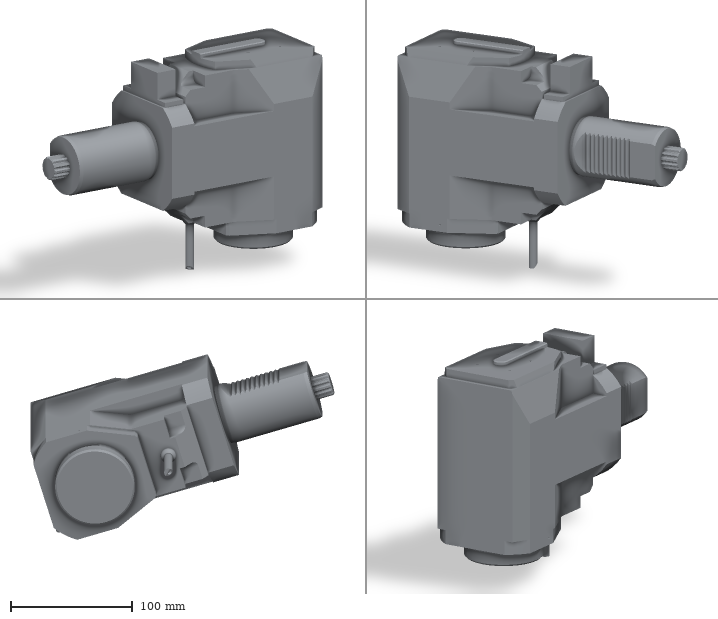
import cadquery as cq
import math


HALF_WIDTH = 44.0
TOTAL_LENGTH = 246.75
BACK_Y = 154.0
SPINDLE_Y = BACK_Y - HALF_WIDTH
FLANGE_THICKNESS = 22.0
FLANGE_CORNER_RADIUS = 53.5
BODY_TOP_Z = 65.0
BODY_BOTTOM_Z = -65.0
COVER_TOP_Z = 72.0
SPINE_TOP_Z = 75.5
TOTAL_HEIGHT = 185.0
PIPE_END_Z = SPINE_TOP_Z - TOTAL_HEIGHT
MARGIN = 5.0

NECK_HALF_WIDTH = 30.75
POCKET_Z = 28.0
POCKET_END_Y = 100.9
POCKET_BEND_Y = 70.0
POCKET_BEND_RADIUS = 10.0
NOSE_CHAMFER = 15.0
BACK_CHAMFER_LENGTH = 15.0
BACK_CHAMFER_WIDTH = 7.5
SLOPE_START_Z = 34.0
SLOPE_ANGLE = 15.0
NOTCH_FLOOR_Z = 55.0
NOTCH_INNER_X = 13.5
NOTCH_BACK_Y = 41.5
NOTCH_RADIUS = 5.0

TAB_START_Y = 2.0
TAB_END_Y = 20.0
TAB_BASE_TOP_Z = 48.0
TAB_TOP_Z = 71.0
TAB_HALF_WIDTH = 19.4

COVER_BACK_Y = 150.0
COVER_CORNER_CHAMFER = 5.0
COVER_INSET = 0.35
COVER_FRONT_RADIUS = 57.0
COVER_FRONT_HALF_WIDTH = 21.9
COVER_SHOULDER_Y = 87.9
COVER_SHOULDER_X = 34.7
COVER_HOLE_OFFSET = 15.85
COVER_HOLE_DIAMETER = 2.1
SPINE_HALF_WIDTH = 6.4
SPINE_ROUND_Y = 114.1
SPINE_CHAMFER_WIDTH = 1.2
SPINE_CHAMFER_HEIGHT = 0.6
SMALL_HOLE_DEPTH = 3.0

PLATE_BOTTOM_Z = -77.0
PLATE_BACK_RADIUS = 52.5
PLATE_SHOULDER_Y = 103.5
PLATE_NOSE_X = 28.3
PLATE_NOSE_Y = 67.2
PLATE_FRONT_X = 26.1
PLATE_FRONT_Y = 65.5
PLATE_HOLE_DIAMETER = 1.7
PLATE_HOLE_Z = (BODY_BOTTOM_Z + PLATE_BOTTOM_Z) / 2

NUT_DIAMETER = 65.3
NUT_BOTTOM_Z = -93.0
NUT_CHAMFER = 1.5
NUT_LIP = 0.6
NUT_FLAT_BOTTOM_Z = -82.0
NUT_FLAT_DISTANCE = 29.8

PIPE_Y = 47.0
PIPE_DIAMETER = 7.0
BALL_RADIUS = 6.37
BALL_HEIGHT = 5.0
PIPE_CUT_OFFSET = -0.5
PIPE_CUT_DEPTH = 6.0
OUTLET_DIAMETER = 4.0
OUTLET_DEPTH = 2.0

SHANK_DIAMETER = 50.0
SHANK_LENGTH = 78.0
RELIEF_DIAMETER = 48.7
RELIEF_LENGTH = 2.0
LEAD_IN_END = 3.5
END_TAPER_LENGTH = 3.0
END_TAPER_DEPTH = 0.8
FLAT_DISTANCE = 19.8
FLAT_RUNOUT = 5.0
TOOTH_PITCH = 4.05
TOOTH_COUNT = 11
FIRST_TOOTH = 12.1
TOOTH_DEPTH = 1.7

SPLINE_TIP_RADIUS = 9.8
SPLINE_ROOT_RADIUS = 8.4
SPLINE_TEETH = 12
SPLINE_PHASE_SHARE = -0.18
SPLINE_TIP_SHARE = 0.35
SPLINE_ROOT_SHARE = 0.2
SPLINE_LENGTH = TOTAL_LENGTH - BACK_Y - SHANK_LENGTH
SPLINE_CHAMFER = 1.0


def box(x_min, x_max, y_min, y_max, z_min, z_max):
    size = (x_max - x_min, y_max - y_min, z_max - z_min)
    return cq.Workplane("XY").box(*size, centered=False).translate((x_min, y_min, z_min))


def prism(points, z_min, z_max):
    """Extrude a closed plan outline between two heights."""
    return cq.Workplane("XY", origin=(0, 0, z_min)).polyline(points).close().extrude(z_max - z_min)


def mirrored(solid):
    """A solid together with its mirror image across the plane X = 0."""
    return solid.union(solid.mirror("YZ"))


def slope_x(z):
    """Half width of the leaning side walls at height z."""
    return HALF_WIDTH - (z - SLOPE_START_Z) * math.tan(math.radians(SLOPE_ANGLE))


def leaning_envelope(inset=0):
    """Block along Y, optionally narrowed, whose upper side walls lean inward."""
    right_side = [
        (HALF_WIDTH - inset, BODY_BOTTOM_Z),
        (HALF_WIDTH - inset, SLOPE_START_Z),
        (slope_x(COVER_TOP_Z) - inset, COVER_TOP_Z),
    ]
    left_side = [(-x, z) for x, z in reversed(right_side)]
    outline = cq.Workplane("XZ").polyline(right_side + left_side).close()
    return outline.extrude(-BACK_Y)


def housing():
    half_back = HALF_WIDTH - BACK_CHAMFER_WIDTH
    plan = [
        (-HALF_WIDTH, FLANGE_THICKNESS),
        (HALF_WIDTH, FLANGE_THICKNESS),
        (HALF_WIDTH, BACK_Y - BACK_CHAMFER_LENGTH),
        (half_back, BACK_Y),
        (-half_back, BACK_Y),
        (-HALF_WIDTH, BACK_Y - BACK_CHAMFER_LENGTH),
    ]
    nose_z = BODY_TOP_Z - NOSE_CHAMFER
    side = [
        (FLANGE_THICKNESS, -nose_z),
        (FLANGE_THICKNESS + NOSE_CHAMFER, BODY_BOTTOM_Z),
        (BACK_Y, BODY_BOTTOM_Z),
        (BACK_Y, BODY_TOP_Z),
        (FLANGE_THICKNESS + NOSE_CHAMFER, BODY_TOP_Z),
        (FLANGE_THICKNESS, nose_z),
    ]
    profile = cq.Workplane("YZ").polyline(side).close().extrude(HALF_WIDTH, both=True)
    body = prism(plan, BODY_BOTTOM_Z, BODY_TOP_Z).intersect(profile)
    body = body.intersect(leaning_envelope())
    for pocket in side_pockets():
        body = body.cut(pocket)
    for notch in nose_notches():
        body = body.cut(notch)
    return body


def side_pockets():
    """Pockets beside the housing neck, above and below the middle band."""
    reach = 2 * HALF_WIDTH
    plan = [
        (NECK_HALF_WIDTH, FLANGE_THICKNESS),
        (NECK_HALF_WIDTH, POCKET_BEND_Y),
        (HALF_WIDTH, POCKET_END_Y),
        (reach, POCKET_END_Y),
        (reach, FLANGE_THICKNESS),
    ]
    upper = prism(plan, POCKET_Z, BODY_TOP_Z + MARGIN)
    bend = cq.selectors.NearestToPointSelector((NECK_HALF_WIDTH, POCKET_BEND_Y, BODY_TOP_Z))
    upper = mirrored(upper.edges("|Z").edges(bend).fillet(POCKET_BEND_RADIUS))
    return [upper, upper.mirror("XY")]


def nose_notches():
    """Corner notches in the nose with a rounded foot along their inner wall."""
    notch = box(NOTCH_INNER_X, HALF_WIDTH, FLANGE_THICKNESS, NOTCH_BACK_Y,
                NOTCH_FLOOR_Z, BODY_TOP_Z + MARGIN)
    notch = notch.edges("|Y and <X and <Z").fillet(NOTCH_RADIUS)
    upper = mirrored(notch)
    return [upper, upper.mirror("XY")]


def flange_block():
    """Full flange with its stepped tab on top."""
    flange = box(-HALF_WIDTH, HALF_WIDTH, 0, FLANGE_THICKNESS, -HALF_WIDTH, HALF_WIDTH)
    disc = cq.Workplane("XZ").circle(FLANGE_CORNER_RADIUS).extrude(-FLANGE_THICKNESS)
    base = box(-NECK_HALF_WIDTH, NECK_HALF_WIDTH, TAB_START_Y, TAB_END_Y, 0, TAB_BASE_TOP_Z)
    tab = box(-TAB_HALF_WIDTH, TAB_HALF_WIDTH, TAB_START_Y, TAB_END_Y, 0, TAB_TOP_Z)
    return flange.intersect(disc).union(base).union(tab)


def cover_front_y(x):
    return SPINDLE_Y - math.sqrt(COVER_FRONT_RADIUS ** 2 - x ** 2)


def cover():
    corner_y = cover_front_y(COVER_FRONT_HALF_WIDTH)
    flank = (COVER_SHOULDER_X - COVER_FRONT_HALF_WIDTH) / (COVER_SHOULDER_Y - corner_y)
    outer_y = COVER_SHOULDER_Y + (HALF_WIDTH - COVER_SHOULDER_X) / flank
    foot_x = slope_x(BODY_TOP_Z) - COVER_INSET
    chamfer_start_y = COVER_BACK_Y - COVER_CORNER_CHAMFER - (HALF_WIDTH - foot_x)
    plate = (
        cq.Workplane("XY", origin=(0, 0, BODY_TOP_Z))
        .moveTo(-COVER_FRONT_HALF_WIDTH, corner_y)
        .threePointArc((0, cover_front_y(0)), (COVER_FRONT_HALF_WIDTH, corner_y))
        .lineTo(HALF_WIDTH, outer_y)
        .lineTo(HALF_WIDTH, chamfer_start_y)
        .lineTo(foot_x - COVER_CORNER_CHAMFER, COVER_BACK_Y)
        .lineTo(COVER_CORNER_CHAMFER - foot_x, COVER_BACK_Y)
        .lineTo(-HALF_WIDTH, chamfer_start_y)
        .lineTo(-HALF_WIDTH, outer_y)
        .close()
        .extrude(COVER_TOP_Z - BODY_TOP_Z)
        .intersect(leaning_envelope(COVER_INSET))
    )
    offset = COVER_HOLE_OFFSET
    holes = (
        cq.Workplane("XY", origin=(0, SPINDLE_Y, COVER_TOP_Z))
        .rect(2 * offset, 2 * offset, forConstruction=True)
        .vertices()
        .circle(COVER_HOLE_DIAMETER / 2)
        .extrude(-SMALL_HOLE_DEPTH)
    )
    return plate.cut(holes)


def cover_spine():
    """Round-ended strip on the cover, trimmed by the cover's front arc."""
    height = SPINE_TOP_Z - COVER_TOP_Z
    length = SPINE_ROUND_Y - (SPINDLE_Y - COVER_FRONT_RADIUS) + MARGIN
    strip = (
        cq.Workplane("XY", origin=(0, SPINE_ROUND_Y - length / 2, COVER_TOP_Z))
        .slot2D(length + 2 * SPINE_HALF_WIDTH, 2 * SPINE_HALF_WIDTH, 90)
        .extrude(height)
        .faces(">Z")
        .edges()
        .chamfer(SPINE_CHAMFER_HEIGHT, SPINE_CHAMFER_WIDTH)
    )
    trim = (
        cq.Workplane("XY", origin=(0, SPINDLE_Y, COVER_TOP_Z))
        .circle(COVER_FRONT_RADIUS)
        .extrude(height)
    )
    return strip.intersect(trim)


def bottom_plate():
    right_side = [
        (PLATE_FRONT_X, PLATE_FRONT_Y),
        (PLATE_NOSE_X, PLATE_NOSE_Y),
        (HALF_WIDTH, PLATE_SHOULDER_Y),
        (HALF_WIDTH, BACK_Y),
    ]
    left_side = [(-x, y) for x, y in reversed(right_side)]
    plate = prism(right_side + left_side, PLATE_BOTTOM_Z, BODY_BOTTOM_Z)
    disc = (
        cq.Workplane("XY", origin=(0, SPINDLE_Y, PLATE_BOTTOM_Z))
        .circle(PLATE_BACK_RADIUS)
        .extrude(BODY_BOTTOM_Z - PLATE_BOTTOM_Z)
    )
    hole = (
        cq.Workplane("YZ", origin=(-HALF_WIDTH, SPINDLE_Y, PLATE_HOLE_Z))
        .circle(PLATE_HOLE_DIAMETER / 2)
        .extrude(SMALL_HOLE_DEPTH)
    )
    return plate.intersect(disc).cut(hole)


def spindle_nut():
    """Round nut with four wrench flats below a thin rim."""
    nut = (
        cq.Workplane("XY", origin=(0, SPINDLE_Y, PLATE_BOTTOM_Z))
        .circle(NUT_DIAMETER / 2)
        .extrude(NUT_BOTTOM_Z - PLATE_BOTTOM_Z)
        .faces("<Z")
        .edges()
        .chamfer(NUT_CHAMFER)
    )
    for angle in range(0, 360, 90):
        flat = box(NUT_FLAT_DISTANCE, NUT_DIAMETER, -NUT_DIAMETER, NUT_DIAMETER,
                   NUT_FLAT_BOTTOM_Z, PLATE_BOTTOM_Z - NUT_LIP)
        flat = flat.rotate((0, 0, 0), (0, 0, 1), angle)
        nut = nut.cut(flat.translate((0, SPINDLE_Y, 0)))
    return nut


def coolant_pipe():
    """Ball nozzle and pipe, with a 45 degree outlet face at the pipe end."""
    ball = cq.Workplane("XY").sphere(BALL_RADIUS)
    ball = ball.intersect(box(-BALL_RADIUS, BALL_RADIUS, -BALL_RADIUS, BALL_RADIUS, -BALL_HEIGHT, 0))
    ball = ball.translate((0, PIPE_Y, BODY_BOTTOM_Z))
    pipe = (
        cq.Workplane("XY", origin=(0, PIPE_Y, PIPE_END_Z))
        .circle(PIPE_DIAMETER / 2)
        .extrude(BODY_BOTTOM_Z - PIPE_END_Z)
    )
    start = PIPE_CUT_OFFSET / math.sqrt(2)
    normal = cq.Vector(1, -1, -math.sqrt(2))
    outlet_face = cq.Workplane(cq.Plane((start, PIPE_Y - start, PIPE_END_Z), (1, 1, 0), normal))
    end_cut = outlet_face.rect(2 * PIPE_DIAMETER, 2 * PIPE_DIAMETER).extrude(PIPE_CUT_DEPTH)
    middle = (PIPE_CUT_OFFSET + PIPE_DIAMETER / 2) / 2
    rise = middle - PIPE_CUT_OFFSET
    across = middle / math.sqrt(2)
    outlet_plane = cq.Plane((across, PIPE_Y - across, PIPE_END_Z + rise), (1, 1, 0), normal)
    outlet = cq.Workplane(outlet_plane).circle(OUTLET_DIAMETER / 2).extrude(-OUTLET_DEPTH)
    return ball.union(pipe.cut(end_cut).cut(outlet))


def shank():
    radius = SHANK_DIAMETER / 2
    outline = [
        (0, 0),
        (RELIEF_DIAMETER / 2, 0),
        (RELIEF_DIAMETER / 2, -RELIEF_LENGTH),
        (radius, -LEAD_IN_END),
        (radius, -SHANK_LENGTH + END_TAPER_LENGTH),
        (radius - END_TAPER_DEPTH, -SHANK_LENGTH),
        (0, -SHANK_LENGTH),
    ]
    turned = cq.Workplane("XY").polyline(outline).close().revolve(360, (0, 0, 0), (0, 1, 0))
    return turned.cut(toothed_flat(radius))


def toothed_flat(radius):
    """Flat along the -X side with its 45 degree run-out and V grooves."""
    runout = radius - FLAT_DISTANCE
    outer = radius + MARGIN
    flat_plan = [
        (-outer, -FLAT_RUNOUT + MARGIN),
        (-FLAT_DISTANCE, -FLAT_RUNOUT - runout),
        (-FLAT_DISTANCE, -SHANK_LENGTH),
        (-outer, -SHANK_LENGTH),
    ]
    tool = prism(flat_plan, -radius, radius)
    for i in range(TOOTH_COUNT):
        y = -FIRST_TOOTH - i * TOOTH_PITCH
        groove = [
            (-FLAT_DISTANCE + TOOTH_DEPTH, y),
            (-FLAT_DISTANCE, y + TOOTH_DEPTH),
            (-outer, y + TOOTH_DEPTH),
            (-outer, y - TOOTH_DEPTH),
            (-FLAT_DISTANCE, y - TOOTH_DEPTH),
        ]
        tool = tool.union(prism(groove, -radius, radius))
    return tool


def spline_end():
    pitch = 2 * math.pi / SPLINE_TEETH
    half_tip = SPLINE_TIP_SHARE * pitch / 2
    half_foot = (1 - SPLINE_ROOT_SHARE) * pitch / 2
    points = []
    for i in range(SPLINE_TEETH):
        for radius, offset in (
            (SPLINE_ROOT_RADIUS, -half_foot),
            (SPLINE_TIP_RADIUS, -half_tip),
            (SPLINE_TIP_RADIUS, half_tip),
            (SPLINE_ROOT_RADIUS, half_foot),
        ):
            angle = (i + SPLINE_PHASE_SHARE) * pitch + offset
            points.append((radius * math.cos(angle), radius * math.sin(angle)))
    base = cq.Workplane("XZ", origin=(0, -SHANK_LENGTH, 0))
    teeth = base.polyline(points).close().extrude(SPLINE_LENGTH)
    blank = base.circle(SPLINE_TIP_RADIUS).extrude(SPLINE_LENGTH)
    blank = blank.faces("<Y").edges().chamfer(SPLINE_CHAMFER)
    return teeth.intersect(blank)


result = housing()
for section in (
    flange_block(),
    cover(),
    cover_spine(),
    bottom_plate(),
    spindle_nut(),
    coolant_pipe(),
    shank(),
    spline_end(),
):
    result = result.union(section)